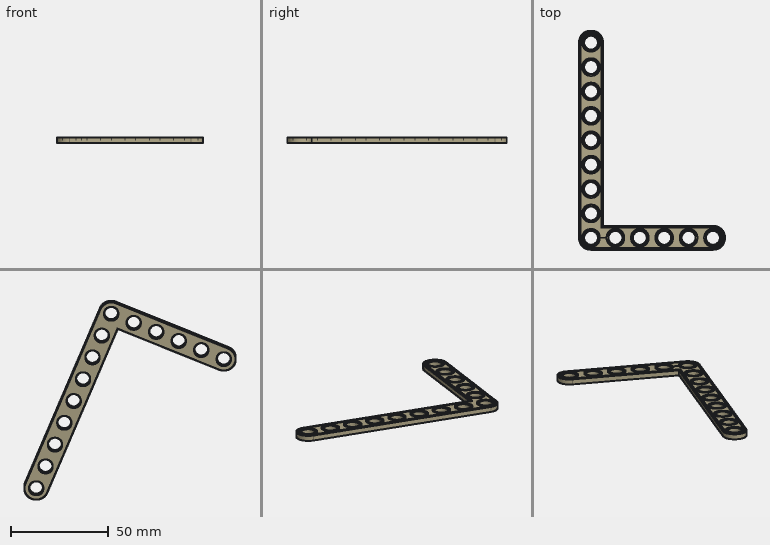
import cadquery as cq

length_y = 112.5
holes_y = 9
holes_x = 6
thickness = 3.2
edge_chamfer = 0.3
hole_diameter = 7.0
collar_diameter = 9.2
rim_width = 1.1
recess_depth = 0.2
rib_width = 0.1

pitch = length_y / holes_y
bar_width = pitch
end_y = (holes_y - 1) * pitch
end_x = (holes_x - 1) * pitch
hole_centers = [(0, row * pitch) for row in range(holes_y)]
hole_centers += [(column * pitch, 0) for column in range(1, holes_x)]


def angle_bar(width, height):
    """L-shaped bar with fully rounded ends, its corner hole axis at the origin."""
    leg_y = cq.Workplane("XY").center(0, end_y / 2).slot2D(end_y + width, width, 90).extrude(height)
    leg_x = cq.Workplane("XY").center(end_x / 2, 0).slot2D(end_x + width, width).extrude(height)
    return leg_y.union(leg_x).clean()


def cylinders(diameter, height):
    """One upright cylinder at every hole position."""
    return cq.Workplane("XY").pushPoints(hole_centers).circle(diameter / 2).extrude(height)


def recess_cutter():
    """Space inside the rim, less the hole collars and the thin rib joining the first two along X."""
    collars = cylinders(collar_diameter, recess_depth)
    rib = cq.Workplane("XY").center(pitch / 2, 0).rect(pitch, rib_width).extrude(recess_depth)
    return angle_bar(bar_width - 2 * rim_width, recess_depth).cut(collars).cut(rib)


body = angle_bar(bar_width, thickness).faces("|Z").edges().chamfer(edge_chamfer)

body = body.cut(cylinders(hole_diameter, thickness))
body = body.edges(cq.selectors.RadiusNthSelector(0)).chamfer(edge_chamfer)

result = body.cut(recess_cutter().translate((0, 0, thickness - recess_depth)))